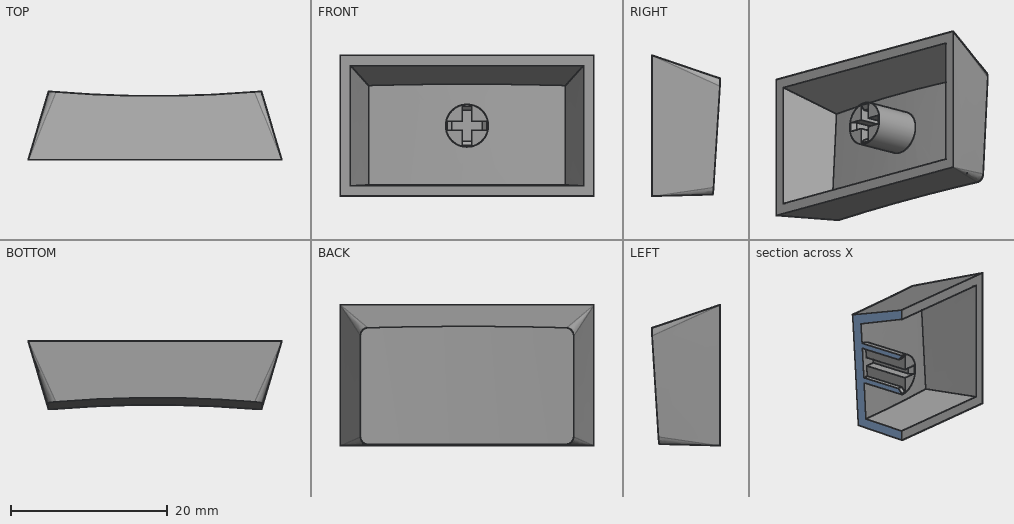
import cadquery as cq
import math

rim_width = 32.35
rim_height = 18.0
wall = 1.33

top_width = 27.17
top_upper_z = 6.02
top_lower_z = -8.8
top_upper_depth = 8.77
top_corner_radius = 0.97
rim_corner_radius = 0.005
top_tilt = 3.6
dish_sag = 0.6

floor_width = 25.1
floor_upper_z = 5.1
floor_lower_z = -7.55
floor_upper_depth = 7.2

stem_diameter = 5.45
socket_length = 3.9
socket_slot_x = 1.13
socket_slot_z = 1.25
lead_in = 0.55

dish_radius = (top_width**2 / 4 + dish_sag**2) / (2 * dish_sag)


def outline(plane, width, height, corner_radius):
    """Rectangular wire on a plane, rounded when a corner radius is given."""
    wire = cq.Workplane(plane).rect(width, height).val()
    if corner_radius > 0:
        wire = wire.fillet2D(corner_radius, wire.Vertices())
    return wire


def end_face_plane(depth, z):
    """Plane facing +Y, tilted about X, through the point (0, depth, z)."""
    tilt = math.radians(top_tilt)
    return cq.Plane(
        origin=(0, depth, z),
        xDir=(-1, 0, 0),
        normal=(0, math.cos(tilt), -math.sin(tilt)),
    )


def dished_shell(rim, end, end_upper_depth, rim_radius, end_radius):
    """Solid from a rim (width, height) to a dished end (width, upper z, lower z)."""
    rim_size_x, rim_size_z = rim
    end_width, upper_z, lower_z = end
    sag = end_width**2 / (8 * dish_radius)
    tilt = math.radians(top_tilt)
    end_length = (upper_z - lower_z) / math.cos(tilt)
    middle_z = (upper_z + lower_z) / 2
    middle_depth = end_upper_depth - (upper_z - middle_z) * math.tan(tilt)

    rim_plane = cq.Plane(origin=(0, 0, 0), xDir=(-1, 0, 0), normal=(0, 1, 0))
    end_plane = end_face_plane(middle_depth, middle_z)
    rim_wire = outline(rim_plane, rim_size_x, rim_size_z, rim_radius)
    end_wire = outline(end_plane, end_width, end_length, end_radius)
    body = cq.Workplane(cq.Solid.makeLoft([rim_wire, end_wire], True))

    dish = (
        cq.Workplane(end_plane)
        .workplane(offset=dish_radius - sag)
        .transformed(rotate=(90, 0, 0))
        .circle(dish_radius)
        .extrude(rim_height, both=True)
    )
    return body.cut(dish)


def socket_arm(slot_width):
    """Arm pair along X, with a lead-in chamfer at both ends of the mouth."""
    half_length = socket_length / 2
    half_mouth = half_length + lead_in
    return (
        cq.Workplane("XY")
        .moveTo(-half_mouth, 0)
        .lineTo(half_mouth, 0)
        .lineTo(half_length, lead_in)
        .lineTo(half_length, top_upper_depth)
        .lineTo(-half_length, top_upper_depth)
        .lineTo(-half_length, lead_in)
        .close()
        .extrude(slot_width / 2, both=True)
    )


outer = dished_shell(
    (rim_width, rim_height),
    (top_width, top_upper_z, top_lower_z),
    top_upper_depth,
    rim_corner_radius,
    top_corner_radius,
)
cavity = dished_shell(
    (rim_width - 2 * wall, rim_height - 2 * wall),
    (floor_width, floor_upper_z, floor_lower_z),
    floor_upper_depth,
    0,
    0,
)

socket = socket_arm(socket_slot_x).union(
    socket_arm(socket_slot_z).rotate((0, 0, 0), (0, 1, 0), 90)
)

stem = (
    cq.Workplane("XZ")
    .circle(stem_diameter / 2)
    .extrude(-top_upper_depth)
    .cut(socket)
    .intersect(cavity)
)

result = outer.cut(cavity).union(stem)